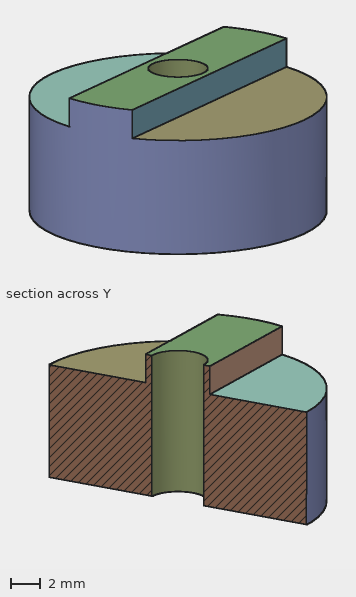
import cadquery as cq

body_diameter = 20.0
overall_height = 10.0
tongue_height = 2.0
tongue_width = 5.0
bore_diameter = 4.0

body_height = overall_height - tongue_height


def make_body():
    """Round disc standing on the XY plane."""
    return cq.Workplane("XY").circle(body_diameter / 2).extrude(body_height)


def make_tongue():
    """Raised key along Y, with ends following the round side of the body."""
    bar = (
        cq.Workplane("XY")
        .workplane(offset=body_height)
        .rect(tongue_width, body_diameter)
        .extrude(tongue_height)
    )
    envelope = cq.Workplane("XY").circle(body_diameter / 2).extrude(overall_height)
    return bar.intersect(envelope)


def make_bore():
    """Central hole through the full height."""
    return cq.Workplane("XY").circle(bore_diameter / 2).extrude(overall_height)


result = make_body().union(make_tongue()).cut(make_bore())